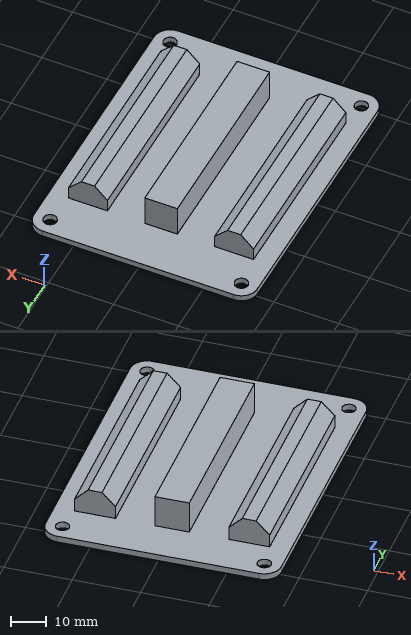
import cadquery as cq

plate_width = 69.0
plate_length = 88.0
total_height = 12.0
plate_thickness = 2.0
corner_radius = 5.0
hole_diameter = 4.0

bar_length = 60.0
bar_center_y = -1.0
center_bar_width = 10.0
center_bar_height = total_height - plate_thickness
side_bar_width = 12.0
side_bar_height = 8.0
side_bar_chamfer = 4.0
side_bar_offset = 22.5


def make_plate():
    """Rounded plate with a hole concentric with each corner."""
    hole_span_x = plate_width - 2 * corner_radius
    hole_span_y = plate_length - 2 * corner_radius
    return (
        cq.Workplane("XY")
        .box(plate_width, plate_length, plate_thickness, centered=(True, True, False))
        .edges("|Z")
        .fillet(corner_radius)
        .faces(">Z")
        .workplane()
        .rect(hole_span_x, hole_span_y, forConstruction=True)
        .vertices()
        .hole(hole_diameter)
    )


def make_bar(width, height, center_x):
    """Rectangular bar standing on the plate and running along Y."""
    return (
        cq.Workplane("XY")
        .box(width, bar_length, height, centered=(True, True, False))
        .translate((center_x, bar_center_y, plate_thickness))
    )


def make_side_bar(center_x):
    """Bar with both long top edges chamfered."""
    bar = make_bar(side_bar_width, side_bar_height, center_x)
    return bar.faces(">Z").edges("|Y").chamfer(side_bar_chamfer)


result = make_plate().union(make_bar(center_bar_width, center_bar_height, 0))
for side in (-1, 1):
    result = result.union(make_side_bar(side * side_bar_offset))